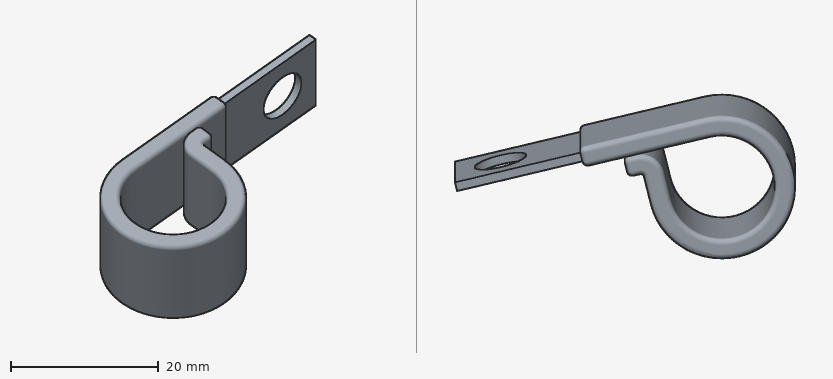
import cadquery as cq
import math

total_length = 44.85
outer_radius = 9.9
strip_thickness = 1.25
strip_width = 12.7
cushion = 0.75
sleeve_end_y = 17.5
hook_inner_radius = 0.4
hook_tip_length = 1.65
hook_clearance = 0.022
hole_diameter = 7.17

wall = strip_thickness + 2 * cushion
sleeve_width = strip_width + 2 * cushion
inner_radius = outer_radius - wall
hook_outer_radius = hook_inner_radius + wall
hook_left_x = -inner_radius + hook_clearance
hook_center_x = hook_left_x + hook_outer_radius
hook_center_y = outer_radius + hook_inner_radius
hook_tip_y = hook_center_y + hook_tip_length
tab_end_y = total_length - outer_radius
hole_y = tab_end_y - strip_width / 2
diagonal = math.sqrt(0.5)


def make_sleeve():
    """Cushioned straight leg, three-quarter loop and hook, with rounded edges."""
    hook_outer_mid = (
        hook_center_x - hook_outer_radius * diagonal,
        hook_center_y - hook_outer_radius * diagonal,
    )
    hook_inner_mid = (
        hook_center_x - hook_inner_radius * diagonal,
        hook_center_y - hook_inner_radius * diagonal,
    )
    outline = (
        cq.Workplane("XY")
        .workplane(offset=-sleeve_width / 2)
        .moveTo(-outer_radius, sleeve_end_y)
        .lineTo(-outer_radius, 0)
        .threePointArc((0, -outer_radius), (outer_radius, 0))
        .threePointArc((outer_radius * diagonal, outer_radius * diagonal), (0, outer_radius))
        .lineTo(hook_center_x, outer_radius)
        .threePointArc(hook_inner_mid, (hook_left_x + wall, hook_center_y))
        .lineTo(hook_left_x + wall, hook_tip_y)
        .lineTo(hook_left_x, hook_tip_y)
        .lineTo(hook_left_x, hook_center_y)
        .threePointArc(hook_outer_mid, (hook_center_x, inner_radius))
        .lineTo(0, inner_radius)
        .threePointArc((inner_radius * diagonal, inner_radius * diagonal), (inner_radius, 0))
        .threePointArc((0, -inner_radius), (-inner_radius, 0))
        .lineTo(-inner_radius, sleeve_end_y)
        .close()
    )
    sleeve = outline.extrude(sleeve_width)
    end_corners = sleeve.faces(">Y").edges("|Z").add(
        sleeve.edges(
            cq.selectors.BoxSelector(
                (hook_left_x - hook_clearance / 2, hook_tip_y - cushion, -sleeve_width),
                (hook_left_x + wall + cushion, hook_tip_y + cushion, sleeve_width),
            )
        ).edges("|Z")
    )
    return end_corners.add(sleeve.faces("<Z or >Z").edges()).fillet(cushion)


def make_tab():
    """Bare end of the strip with its mounting hole, starting inside the sleeve."""
    tab_start_y = sleeve_end_y - wall
    tab_center_x = -outer_radius + wall / 2
    tab = cq.Workplane("XY").box(
        strip_thickness, tab_end_y - tab_start_y, strip_width
    ).translate((tab_center_x, (tab_start_y + tab_end_y) / 2, 0))
    hole = (
        cq.Workplane("YZ", origin=(tab_center_x, hole_y, 0))
        .circle(hole_diameter / 2)
        .extrude(strip_thickness, both=True)
    )
    return tab.cut(hole)


result = make_sleeve().union(make_tab())